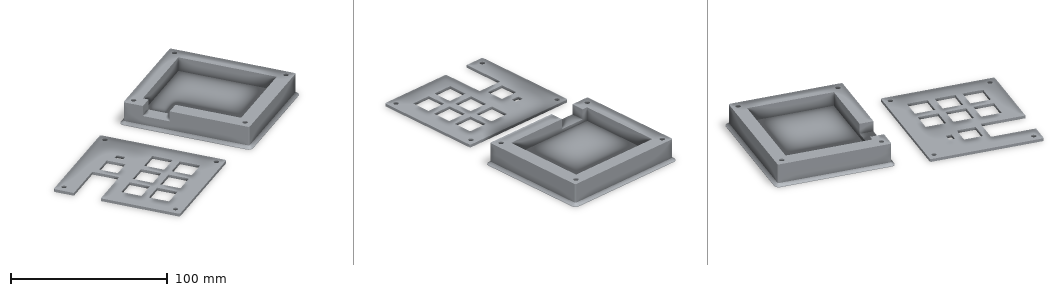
import cadquery as cq

HOUSING_LENGTH = 87.1
HOUSING_WIDTH = 78.0
HOUSING_HEIGHT = 15.5
CORNER_RADIUS = 1.0
FLANGE_OVERHANG = 2.2
FLANGE_RIM_HEIGHT = 0.4
FLANGE_HEIGHT = 2.0

FEATURE_OFFSET_Y = 0.22
SCREW_DIAMETER = 3.5
SCREW_SPACING_X = 77.1
SCREW_SPACING_Y = 68.3
NOTCH_WIDTH = 18.5
NOTCH_LEFT = 13.5

POCKET_LENGTH = 68.0
POCKET_WIDTH = 59.5
POCKET_DEPTH = 9.8
NOTCH_DEPTH = 7.3

PLATE_LENGTH = 87.3
PLATE_WIDTH = 78.0
PLATE_THICKNESS = 2.0
PLATE_BOTTOM = 0.4
TOTAL_LENGTH = 95.3
TOTAL_WIDTH = 182.2
SLOT_LEFT = 14.0
SLOT_DEPTH = 30.8

KEY_SIZE = 14.0
KEY_COLUMNS = 2
KEY_ROWS = 3
KEY_ROW_SPAN = 38.0
KEY_PITCH = KEY_ROW_SPAN / (KEY_ROWS - 1)
FIRST_KEY_X = 48.5
FIRST_KEY_Y = 19.9

KNOB_WINDOW_SIZE = 13.0
KNOB_WINDOW_X = 23.3
KNOB_WINDOW_Y = 41.7
PORT_WINDOW_LENGTH = 5.8
PORT_WINDOW_WIDTH = 4.0
PORT_WINDOW_X = 23.0
PORT_WINDOW_Y = 55.2

FLANGE_LENGTH = HOUSING_LENGTH + 2 * FLANGE_OVERHANG
FLANGE_WIDTH = HOUSING_WIDTH + 2 * FLANGE_OVERHANG
PLATE_LEFT = FLANGE_LENGTH / 2 - TOTAL_LENGTH
PLATE_FRONT = FLANGE_WIDTH / 2 - TOTAL_WIDTH


def box_at(length, width, height, x, y, bottom):
    """Box centred on (x, y) that stands on the level `bottom`."""
    return cq.Workplane("XY", origin=(x, y, bottom)).box(length, width, height, centered=(True, True, False))


def screw_holes(x, y, bottom, height):
    """Four screw-hole cylinders at the corners of a rectangle centred on (x, y)."""
    return (
        cq.Workplane("XY", origin=(x, y, bottom))
        .rect(SCREW_SPACING_X, SCREW_SPACING_Y, forConstruction=True)
        .vertices()
        .circle(SCREW_DIAMETER / 2)
        .extrude(height)
    )


def make_flange():
    """Base flange whose upper edge slopes in to meet the housing walls."""
    flange = box_at(FLANGE_LENGTH, FLANGE_WIDTH, FLANGE_HEIGHT, 0, 0, 0)
    flange = flange.edges("|Z").fillet(CORNER_RADIUS + FLANGE_OVERHANG)
    return flange.faces(">Z").chamfer(FLANGE_HEIGHT - FLANGE_RIM_HEIGHT, FLANGE_OVERHANG)


def make_housing():
    block = box_at(HOUSING_LENGTH, HOUSING_WIDTH, HOUSING_HEIGHT, 0, 0, 0)
    block = block.edges("|Z").fillet(CORNER_RADIUS)
    housing = block.union(make_flange())

    pocket_floor = HOUSING_HEIGHT - POCKET_DEPTH
    pocket = box_at(POCKET_LENGTH, POCKET_WIDTH, POCKET_DEPTH, 0, FEATURE_OFFSET_Y, pocket_floor)

    wall = (HOUSING_WIDTH - POCKET_WIDTH) / 2 + FEATURE_OFFSET_Y
    notch_x = -HOUSING_LENGTH / 2 + NOTCH_LEFT + NOTCH_WIDTH / 2
    notch_y = -HOUSING_WIDTH / 2 + wall / 2
    notch = box_at(NOTCH_WIDTH, wall, NOTCH_DEPTH, notch_x, notch_y, HOUSING_HEIGHT - NOTCH_DEPTH)

    holes = screw_holes(0, FEATURE_OFFSET_Y, pocket_floor, POCKET_DEPTH)
    return housing.cut(pocket).cut(notch).cut(holes)


def make_plate():
    centre_x = PLATE_LEFT + PLATE_LENGTH / 2
    centre_y = PLATE_FRONT + PLATE_WIDTH / 2
    plate = box_at(PLATE_LENGTH, PLATE_WIDTH, PLATE_THICKNESS, centre_x, centre_y, PLATE_BOTTOM)
    plate = plate.edges("|Z").fillet(CORNER_RADIUS)

    def window(length, width, x, y):
        """Through window with its centre measured from the plate's front left corner."""
        return box_at(length, width, PLATE_THICKNESS, PLATE_LEFT + x, PLATE_FRONT + y, PLATE_BOTTOM)

    for column in range(KEY_COLUMNS):
        for row in range(KEY_ROWS):
            key_x = FIRST_KEY_X + column * KEY_PITCH
            key_y = FIRST_KEY_Y + row * KEY_PITCH
            plate = plate.cut(window(KEY_SIZE, KEY_SIZE, key_x, key_y))

    plate = plate.cut(window(KNOB_WINDOW_SIZE, KNOB_WINDOW_SIZE, KNOB_WINDOW_X, KNOB_WINDOW_Y))
    plate = plate.cut(window(PORT_WINDOW_LENGTH, PORT_WINDOW_WIDTH, PORT_WINDOW_X, PORT_WINDOW_Y))
    plate = plate.cut(window(NOTCH_WIDTH, SLOT_DEPTH, SLOT_LEFT + NOTCH_WIDTH / 2, SLOT_DEPTH / 2))
    return plate.cut(screw_holes(centre_x, centre_y + FEATURE_OFFSET_Y, PLATE_BOTTOM, PLATE_THICKNESS))


housing = make_housing()
plate = make_plate()

result = cq.Compound.makeCompound([housing.val(), plate.val()])